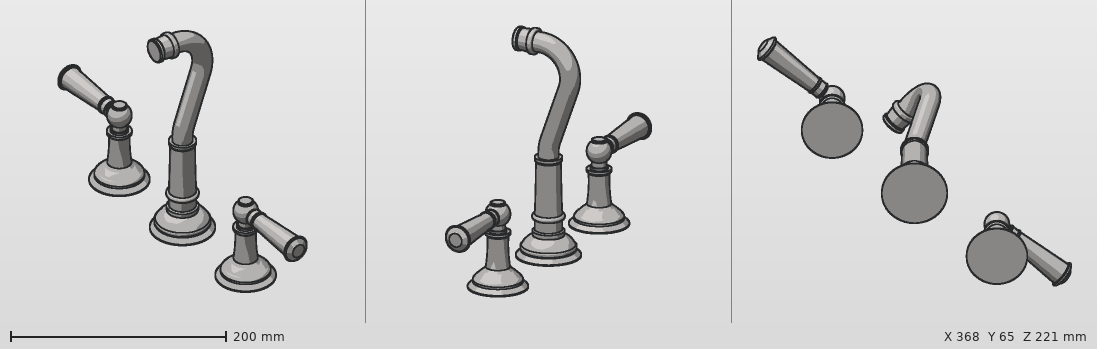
import cadquery as cq
import math

half_width = 184
handle_spacing = 100.0
lip_height = 1.0
rim_bulge = 0.5

spout_base_radius = 30.5
spout_foot_radius = 25.7
spout_foot_top = 5.5
spout_step_radius = 26.5
spout_step_bottom = 6.5
spout_step_top = 9.0
spout_rim_radius = 25.5
spout_rim_top = 10.5
spout_dome_radius = 14.7
spout_dome_top = 20.2
spout_dome_bulge = 1.5
collar_radius = 15.0
collar_bottom = 21.7
collar_top = 24.5
collar_cone_top = 25.7
column_radius = 13.0
bead_radius = 2.5
bead_height = 38.5
column_waist = 0.2
column_top_radius = 11.8
column_top = 92.3
cap_bottom = 94.0
cap_radius = 13.0
cap_top = 97.0

pipe_radius = 9.5
pipe_straight_top = 102.2
pipe_lean = 19.6
crook_radius = 31.3
outlet_height = 208.5
outlet_start = 8.5

nozzle_ring_radius = 12.5
nozzle_ring_start = 12.0
nozzle_ring_end = 17.5
nozzle_ring_rounding = 1.5
nozzle_shoulder_radius = 11.0
nozzle_shoulder_end = 18.8
nozzle_radius = 10.3
nozzle_tip_radius = 11.5
nozzle_tip_start = 27.5
nozzle_end = 32.7
nozzle_tip_chamfer = 1.0

handle_base_radius = 28.3
handle_step_radius = 23.5
handle_step_bottom = 5.5
handle_step_top = 7.7
handle_rim_radius = 20.5
handle_rim_top = 11.5
handle_dome_radius = 14.0
handle_dome_top = 17.0
handle_dome_bulge = 0.5
flare_radius = 11.5
flare_bottom = 20.0
shaft_waist = 0.7
shaft_radius = 10.0
shaft_top = 50.5
shaft_cap_radius = 11.8
shaft_cap_bottom = 52.2
shaft_cap_top = 54.8
washer_radius = 8.5
washer_top = 57.0
neck_radius = 7.0

ball_radius = 11.8
ball_height = 71.7
button_radius = 7.0
button_top = 83.5
button_chamfer = 0.7

lever_end = half_width - handle_spacing
lever_neck_radius = 6.0
lever_flange_start = 12.0
lever_flange_end = 13.2
lever_flange_radius = 8.0
lever_collar_radius = 7.7
lever_ring_start = 20.0
lever_ring_end = 22.0
lever_ring_radius = 8.5
grip_start_radius = 7.7
grip_end = 77.2
grip_end_radius = 11.0
rim_edge_radius = 11.8
rim_peak_radius = 13.0
rim_start = 78.0
rim_end = 80.0
end_cone_radius = 8.0
end_cone_end = 82.7
lever_face_radius = 6.5


def bowed_midpoint(start, end, bulge):
    """Midpoint of a rising (radius, height) chord, moved outward by the bulge."""
    run = start[0] - end[0]
    rise = end[1] - start[1]
    chord = math.hypot(run, rise)
    middle_radius = (start[0] + end[0]) / 2
    middle_height = (start[1] + end[1]) / 2
    return middle_radius + bulge * rise / chord, middle_height + bulge * run / chord


def make_column():
    """Spout base, column, bead and cap, turned about Z."""
    step_corner = (spout_step_radius, spout_step_top)
    dome_start = (spout_rim_radius, spout_rim_top)
    dome_end = (spout_dome_radius, spout_dome_top)
    taper_start = (column_radius, bead_height + bead_radius)
    taper_end = (column_top_radius, column_top)
    profile = (
        cq.Workplane("XZ")
        .lineTo(spout_base_radius, 0)
        .lineTo(spout_base_radius, lip_height)
        .lineTo(spout_foot_radius, spout_foot_top)
        .lineTo(spout_foot_radius, spout_step_bottom)
        .lineTo(spout_step_radius, spout_step_bottom)
        .lineTo(*step_corner)
        .threePointArc(bowed_midpoint(step_corner, dome_start, rim_bulge), dome_start)
        .threePointArc(bowed_midpoint(dome_start, dome_end, spout_dome_bulge), dome_end)
        .lineTo(collar_radius, collar_bottom)
        .lineTo(collar_radius, collar_top)
        .lineTo(column_radius, collar_cone_top)
        .lineTo(column_radius, bead_height - bead_radius)
        .threePointArc((column_radius + bead_radius, bead_height), taper_start)
        .threePointArc(bowed_midpoint(taper_start, taper_end, -column_waist), taper_end)
        .lineTo(cap_radius, cap_bottom)
        .lineTo(cap_radius, cap_top)
        .lineTo(0, cap_top)
        .close()
    )
    return profile.revolve(360, (0, 0), (0, 1))


def make_pipe():
    """Round pipe that leans back and crooks forward, bends tangent to the straights."""
    lean = math.radians(pipe_lean)
    crook_y = -outlet_start
    crook_z = outlet_height - crook_radius
    crook_start = (
        crook_y + crook_radius * math.cos(lean),
        crook_z - crook_radius * math.sin(lean),
    )
    crook_middle_angle = (math.pi / 2 - lean) / 2
    crook_middle = (
        crook_y + crook_radius * math.cos(crook_middle_angle),
        crook_z + crook_radius * math.sin(crook_middle_angle),
    )
    corner_z = crook_start[1] - crook_start[0] / math.tan(lean)
    lower_radius = (corner_z - pipe_straight_top) / math.tan(lean / 2)

    def lower_point(angle):
        return (
            lower_radius * (1 - math.cos(angle)),
            pipe_straight_top + lower_radius * math.sin(angle),
        )

    path = (
        cq.Workplane("YZ")
        .moveTo(0, column_top)
        .lineTo(0, pipe_straight_top)
        .threePointArc(lower_point(lean / 2), lower_point(lean))
        .lineTo(*crook_start)
        .threePointArc(crook_middle, (crook_y, outlet_height))
        .lineTo(-nozzle_ring_end, outlet_height)
    )
    return cq.Workplane("XY").workplane(offset=column_top).circle(pipe_radius).sweep(path)


def make_nozzle():
    """Ring, tapering barrel and tip, turned about the pipe's outlet axis along -Y."""
    profile = (
        cq.Workplane("YZ", origin=(0, 0, outlet_height))
        .moveTo(-nozzle_ring_start, 0)
        .lineTo(-nozzle_ring_start, nozzle_ring_radius - nozzle_ring_rounding)
        .radiusArc(
            (-nozzle_ring_start - nozzle_ring_rounding, nozzle_ring_radius),
            -nozzle_ring_rounding,
        )
        .lineTo(-nozzle_ring_end + nozzle_ring_rounding, nozzle_ring_radius)
        .radiusArc(
            (-nozzle_ring_end, nozzle_ring_radius - nozzle_ring_rounding),
            -nozzle_ring_rounding,
        )
        .lineTo(-nozzle_shoulder_end, nozzle_shoulder_radius)
        .lineTo(-nozzle_tip_start, nozzle_radius)
        .lineTo(-nozzle_tip_start - nozzle_tip_chamfer, nozzle_tip_radius)
        .lineTo(-nozzle_end + nozzle_tip_chamfer, nozzle_tip_radius)
        .lineTo(-nozzle_end, nozzle_tip_radius - nozzle_tip_chamfer)
        .lineTo(-nozzle_end, 0)
        .close()
    )
    return profile.revolve(360, (0, 0), (1, 0))


def make_spout():
    return make_column().union(make_pipe()).union(make_nozzle())


def make_pedestal():
    """Handle base, shaft and neck, turned about Z up to the ball centre."""
    step_corner = (handle_step_radius, handle_step_top)
    dome_start = (handle_rim_radius, handle_rim_top)
    dome_end = (handle_dome_radius, handle_dome_top)
    shaft_start = (flare_radius, flare_bottom)
    shaft_end = (shaft_radius, shaft_top)
    profile = (
        cq.Workplane("XZ")
        .lineTo(handle_base_radius, 0)
        .lineTo(handle_base_radius, lip_height)
        .lineTo(handle_step_radius, handle_step_bottom)
        .lineTo(*step_corner)
        .threePointArc(bowed_midpoint(step_corner, dome_start, rim_bulge), dome_start)
        .threePointArc(bowed_midpoint(dome_start, dome_end, handle_dome_bulge), dome_end)
        .lineTo(*shaft_start)
        .threePointArc(bowed_midpoint(shaft_start, shaft_end, -shaft_waist), shaft_end)
        .lineTo(shaft_cap_radius, shaft_cap_bottom)
        .lineTo(shaft_cap_radius, shaft_cap_top)
        .lineTo(washer_radius, shaft_cap_top)
        .lineTo(washer_radius, washer_top)
        .lineTo(neck_radius, washer_top)
        .lineTo(neck_radius, ball_height)
        .lineTo(0, ball_height)
        .close()
    )
    return profile.revolve(360, (0, 0), (0, 1))


def make_ball():
    ball = cq.Workplane("XY", origin=(0, 0, ball_height)).sphere(ball_radius)
    button = (
        cq.Workplane("XY", origin=(0, 0, ball_height))
        .circle(button_radius)
        .extrude(button_top - ball_height)
        .faces(">Z")
        .chamfer(button_chamfer)
    )
    return ball.union(button)


def make_lever():
    """Lever turned about the +X axis through the ball centre."""
    profile = (
        cq.Workplane("XZ", origin=(0, 0, ball_height))
        .lineTo(0, lever_neck_radius)
        .lineTo(lever_flange_start, lever_neck_radius)
        .lineTo(lever_flange_start, lever_flange_radius)
        .lineTo(lever_flange_end, lever_flange_radius)
        .lineTo(lever_flange_end, lever_collar_radius)
        .lineTo(lever_ring_start, lever_collar_radius)
        .lineTo(lever_ring_start, lever_ring_radius)
        .lineTo(lever_ring_end, lever_ring_radius)
        .lineTo(lever_ring_end, grip_start_radius)
        .lineTo(grip_end, grip_end_radius)
        .lineTo(rim_start, rim_edge_radius)
        .threePointArc(((rim_start + rim_end) / 2, rim_peak_radius), (rim_end, rim_edge_radius))
        .lineTo(end_cone_end, end_cone_radius)
        .lineTo(lever_end, lever_face_radius)
        .lineTo(lever_end, 0)
        .close()
    )
    return profile.revolve(360, (0, 0), (1, 0))


def make_handle(side):
    """Handle at one side of the spout, its lever pointing away from the spout."""
    handle = make_pedestal().union(make_ball()).union(make_lever())
    if side < 0:
        handle = handle.mirror("YZ")
    return handle.translate((side * handle_spacing, 0, 0))


spout = make_spout()
handles = [make_handle(side) for side in (-1, 1)]

bodies = [spout, *handles]

result = cq.Compound.makeCompound([body.solids().val() for body in bodies])